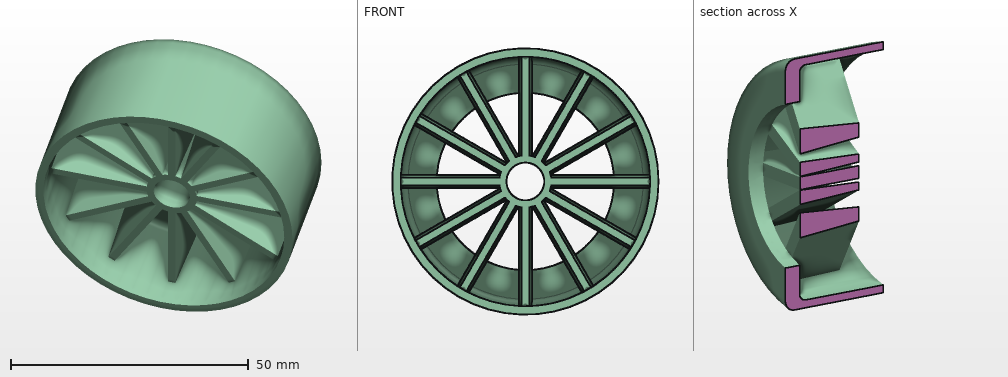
import cadquery as cq

outer_radius = 28.05
width = 25.33
outer_edge_radius = 2.4
wall = 1.8
web_thickness = 3.77
inner_edge_radius = 1.5
web_opening_radius = 18.65

bore_radius = 3.95
hub_radius = 5.5

rib_count = 12
rib_recess = 6.27
rib_front_thickness = 1.6
rib_back_thickness = 2.8

cavity_radius = outer_radius - wall
cavity_depth = width - web_thickness
spoke_depth = cavity_depth - rib_recess
mouth_y = -width / 2
web_face_y = mouth_y + cavity_depth
rib_front_y = mouth_y + rib_recess


def cylinder(radius, start_y, length):
    """Solid cylinder on the Y axis, running from start_y towards +Y."""
    return cq.Workplane("XZ", origin=(0, start_y, 0)).circle(radius).extrude(-length)


def make_shell():
    """Full outer body with the web edge rounded."""
    return cylinder(outer_radius, mouth_y, width).faces(">Y").edges().fillet(outer_edge_radius)


def make_interior():
    """Space inside the rim: the rounded cavity and the round opening through the web."""
    cavity = cylinder(cavity_radius, mouth_y, cavity_depth).faces(">Y").edges().fillet(inner_edge_radius)
    opening = cylinder(web_opening_radius, mouth_y, width)
    return cavity.union(opening)


def make_rib_pair():
    """Tapered rib across the full diameter, thicker at the web than at the front."""
    half_front = rib_front_thickness / 2
    half_back = rib_back_thickness / 2
    return (
        cq.Workplane("XY")
        .moveTo(-half_front, rib_front_y)
        .lineTo(half_front, rib_front_y)
        .lineTo(half_back, web_face_y)
        .lineTo(-half_back, web_face_y)
        .close()
        .extrude(outer_radius, both=True)
    )


def make_spokes():
    """Hub with evenly spaced ribs between the rim and the inner face of the web."""
    spokes = cylinder(hub_radius, rib_front_y, spoke_depth)
    rib_pair = make_rib_pair()
    for index in range(rib_count // 2):
        angle = index * 360 / rib_count
        spokes = spokes.union(rib_pair.rotate((0, 0, 0), (0, 1, 0), angle))
    return spokes


hollow = make_interior().cut(make_spokes())
bore = cylinder(bore_radius, mouth_y, width)
result = make_shell().cut(hollow).cut(bore)